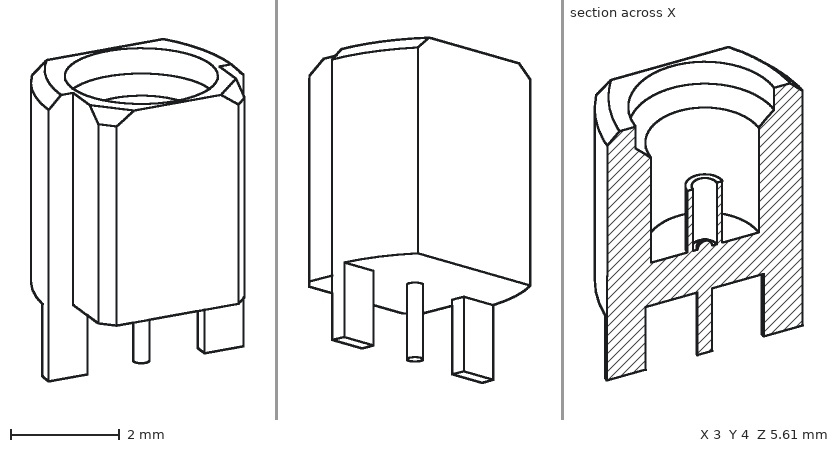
import cadquery as cq
import math

total_height = 5.61
body_width = 3.0
cheek_span = 4.0
body_height = 4.185
chamfer = 0.25

step_x = 0.2

leg_thickness = 0.3
leg_inner_y = 1.2
pin_radius = 0.15

mouth_radius = 1.41
mouth_depth = 0.5
bore_radius = 1.095
bore_depth = 3.2

socket_radius = 0.36
socket_hole_radius = 0.24
socket_height = 1.4

half_width = body_width / 2
half_span = cheek_span / 2
body_bottom = total_height - body_height
bore_floor = total_height - bore_depth

cheek_rise = half_span - half_width
cheek_run = half_width + step_x
cheek_radius = (cheek_run**2 + cheek_rise**2) / (2 * cheek_rise)


def cheek_y(x):
    """Distance of the cheek surface from the XZ plane at a given X."""
    return half_span - cheek_radius + math.sqrt(cheek_radius**2 - (x - step_x) ** 2)


def outline_prism(bottom, height):
    """Prism of the body outline, symmetric about the XZ plane."""
    cut_corner = half_width - chamfer
    cheek_mid_y = cheek_y(0)
    return (
        cq.Workplane("XY", origin=(0, 0, bottom))
        .moveTo(-half_width, -half_width)
        .threePointArc((0, -cheek_mid_y), (step_x, -half_span))
        .lineTo(step_x, -half_width)
        .lineTo(cut_corner, -half_width)
        .lineTo(half_width, -cut_corner)
        .lineTo(half_width, cut_corner)
        .lineTo(cut_corner, half_width)
        .lineTo(step_x, half_width)
        .lineTo(step_x, half_span)
        .threePointArc((0, cheek_mid_y), (-half_width, half_width))
        .close()
        .extrude(height)
    )


def make_body():
    """Body with its cheek and cut-corner top edges chamfered."""
    body = outline_prism(body_bottom, body_height)
    top_edges = body.faces(">Z").edges
    cheek_edges = top_edges("%CIRCLE").vals()
    corner_edges = top_edges("#(1,1,0) or #(1,-1,0)").vals()
    return body.newObject(cheek_edges + corner_edges).chamfer(chamfer)


def make_bore():
    """Wide mouth, 45 degree cone, then a plain bore down to a flat floor."""
    mouth_floor = total_height - mouth_depth
    cone_bottom = mouth_floor - (mouth_radius - bore_radius)
    return (
        cq.Workplane("XZ")
        .moveTo(0, bore_floor)
        .lineTo(bore_radius, bore_floor)
        .lineTo(bore_radius, cone_bottom)
        .lineTo(mouth_radius, mouth_floor)
        .lineTo(mouth_radius, total_height)
        .lineTo(0, total_height)
        .close()
        .revolve(360, (0, 0), (0, 1))
    )


def make_socket():
    """Tubular contact on the bore floor."""
    return (
        cq.Workplane("XY", origin=(0, 0, bore_floor))
        .circle(socket_radius)
        .circle(socket_hole_radius)
        .extrude(socket_height)
    )


def make_pin():
    """Centre pin from the leg tips up through the floor, with a domed end."""
    shaft = cq.Workplane("XY").circle(pin_radius).extrude(bore_floor)
    dome = cq.Workplane("XY", origin=(0, 0, bore_floor)).sphere(pin_radius)
    return shaft.union(dome)


def make_leg(side):
    """Leg under one cheek, flush with the step and the cheek surface."""
    leg_depth = half_span - leg_inner_y
    block = cq.Workplane("XY").box(leg_thickness, leg_depth, body_bottom, centered=(True, True, False))
    block = block.translate((step_x - leg_thickness / 2, side * (leg_inner_y + leg_depth / 2), 0))
    return block.intersect(outline_prism(0, body_bottom))


result = make_body().cut(make_bore()).union(make_socket()).union(make_pin())
for side in (-1, 1):
    result = result.union(make_leg(side))